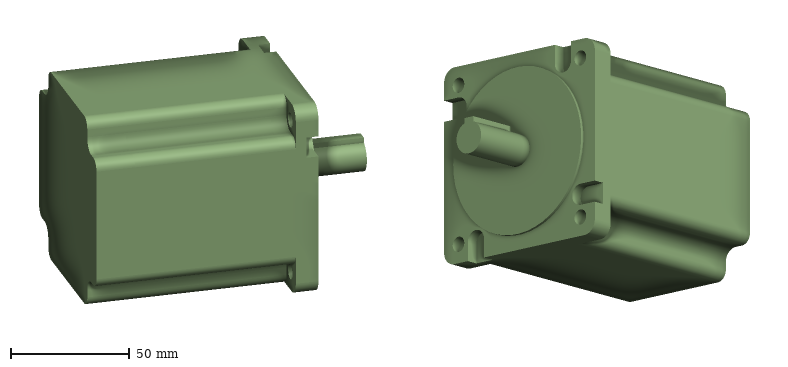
import cadquery as cq


total_length = 130.0
side = 86.0
half_side = side / 2

rear_length = 17.0
stator_length = 64.0
front_neck_length = 7.0
flange_thickness = 10.0
pilot_height = 1.4
stator_start = rear_length
front_start = stator_start + stator_length
flange_start = front_start + front_neck_length
flange_face = flange_start + flange_thickness
pilot_face = flange_face + pilot_height
shaft_length = total_length - pilot_face

corner_relief = 13.8
relief_outer_radius = 4.5
relief_inner_radius = 5.7

flange_corner_radius = 6.0
bolt_hole_diameter = 6.6
bolt_hole_pitch = 69.5
pilot_diameter = 73.0
notch_width = 9.2
notch_depth = 5.3
notch_offset = 24.8
notch_count = 4
full_turn = 360.0

shaft_diameter = 14.0
key_width = 5.1
key_length = 25.1
key_top = 8.8


def plane_at(y):
    """Plane across the motor axis at y: local x is X, local y is Z, extrusion runs along +Y."""
    return cq.Plane(origin=(0, y, 0), xDir=(1, 0, 0), normal=(0, -1, 0))


def cylinder(diameter, start, length):
    """Cylinder on the motor axis."""
    return cq.Workplane(plane_at(start)).circle(diameter / 2).extrude(-length)


def relieved_block(start, length):
    """Square block with a rounded square step cut out of each of its four long corners."""
    corner_steps = (
        cq.Workplane(plane_at(start))
        .rect(side, side, forConstruction=True)
        .vertices()
        .rect(2 * corner_relief, 2 * corner_relief)
        .extrude(-length)
    )
    block = cq.Workplane(plane_at(start)).rect(side, side).extrude(-length).cut(corner_steps)
    reach = half_side - corner_relief / 2
    inner_edges = cq.selectors.BoxSelector((-reach, start, -reach), (reach, start + length, reach))
    block = block.edges("|Y").edges(inner_edges).fillet(relief_inner_radius)
    outer_faces = block.faces("<X or >X or <Z or >Z")
    return outer_faces.edges("|Y").fillet(relief_outer_radius)


def bolt_holes():
    """Through holes at the four flange corners."""
    return (
        cq.Workplane(plane_at(flange_start))
        .rect(bolt_hole_pitch, bolt_hole_pitch, forConstruction=True)
        .vertices()
        .circle(bolt_hole_diameter / 2)
        .extrude(-flange_thickness)
    )


def edge_notch(angle):
    """Round-ended slot into one flange side, open at the front face, turned about the motor axis."""
    round_center = bolt_hole_pitch / 2
    notch_floor = plane_at(flange_face - notch_depth)
    straight = (
        cq.Workplane(notch_floor)
        .center(-notch_offset, (round_center + half_side) / 2)
        .rect(notch_width, half_side - round_center)
        .extrude(-notch_depth)
    )
    round_end = (
        cq.Workplane(notch_floor)
        .center(-notch_offset, round_center)
        .circle(notch_width / 2)
        .extrude(-notch_depth)
    )
    return straight.union(round_end).rotate((0, 0, 0), (0, 1, 0), angle)


def make_front_cover():
    """Mounting flange with a pilot boss in front and a relieved neck behind."""
    cover = (
        cq.Workplane(plane_at(flange_start))
        .rect(side, side)
        .extrude(-flange_thickness)
        .edges("|Y")
        .fillet(flange_corner_radius)
    )
    cover = cover.union(relieved_block(front_start, front_neck_length))
    cover = cover.union(cylinder(pilot_diameter, flange_face, pilot_height))
    cover = cover.cut(bolt_holes())
    for index in range(notch_count):
        cover = cover.cut(edge_notch(index * full_turn / notch_count))
    return cover


def make_shaft():
    """Output shaft with a raised key that is round at its inner end and flush at the shaft tip."""
    key_round_center = total_length - key_length + key_width / 2
    key_bar_length = total_length - key_round_center
    key_bar = (
        cq.Workplane("XY")
        .center(0, key_round_center + key_bar_length / 2)
        .rect(key_width, key_bar_length)
        .extrude(key_top)
    )
    key_round = (
        cq.Workplane("XY")
        .center(0, key_round_center)
        .circle(key_width / 2)
        .extrude(key_top)
    )
    key = key_bar.union(key_round)
    return cylinder(shaft_diameter, pilot_face, shaft_length).union(key)


rear_cover = relieved_block(0, rear_length)
stator = relieved_block(stator_start, stator_length)
front_cover = make_front_cover()
shaft = make_shaft()

result = cq.Compound.makeCompound(
    [rear_cover.val(), stator.val(), front_cover.val(), shaft.val()]
)